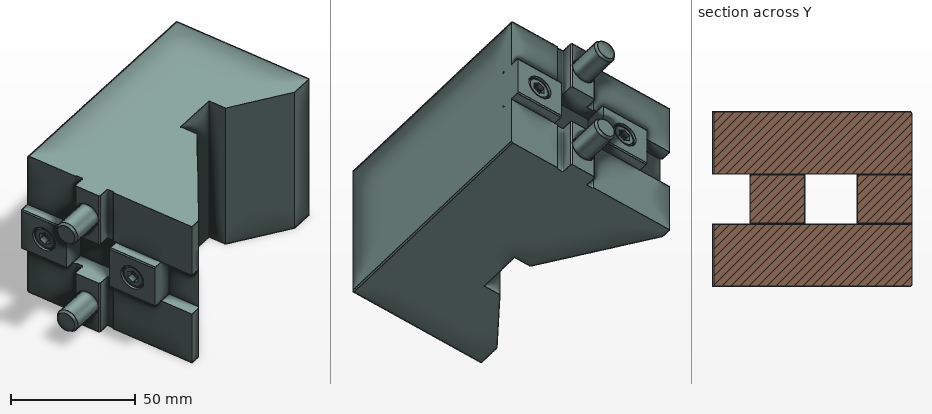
import cadquery as cq
import math

BODY_WIDTH = 80.0
BODY_DEPTH = 105.0
BODY_HEIGHT = 70.0
BACK_WIDTH = 65.0
FRONT_LIP_DEPTH = 4.6
BODY_CHAMFER = 0.6
HALF_HEIGHT = BODY_HEIGHT / 2

RELIEF_FRONT_Y = 50.0
RELIEF_HEIGHT = 20.0
RELIEF_FLOOR_X = 40.0
VEE_ROOT_X = 48.0
RELIEF_BACK_Y = RELIEF_FRONT_Y + RELIEF_HEIGHT
VEE_SLOPE = (RELIEF_FRONT_Y - FRONT_LIP_DEPTH) / (BODY_WIDTH - VEE_ROOT_X)
VEE_BACK_Y = RELIEF_BACK_Y + VEE_SLOPE * (BACK_WIDTH - VEE_ROOT_X)

AXIS_X = BACK_WIDTH / 2
TENON_WIDTH = 12.0
TENON_LENGTH = 5.0
TENON_CHAMFER = 0.5
GROOVE_OUTER_WIDTH = 18.1
GROOVE_DEPTH = 0.5
GROOVE_FILLET = 0.4

SLOT_WIDTH = 20.0
SLOT_DEPTH = 5.5
KEY_WIDTH = 22.0
KEY_LENGTH = 4.5
KEY_CHAMFER = 0.5
KEY_CENTERS_X = (KEY_WIDTH / 2, BACK_WIDTH - KEY_WIDTH / 2)

COUNTERBORE_DIAMETER = 11.0
COUNTERBORE_DEPTH = 1.2
SCREW_HEAD_DIAMETER = 10.0
SCREW_HEAD_RECESS = 0.5
SCREW_HEAD_CHAMFER = 0.5
HEX_ACROSS_FLATS = 5.0
HEX_DEPTH = 3.0
DRILL_DIAMETER = 6.0
DRILL_CONE_DEPTH = 1.5

PIN_DIAMETER = 10.0
PIN_LENGTH = 20.0
PIN_CHAMFER_RADIAL = 0.8
PIN_CHAMFER_AXIAL = 1.1
PIN_OFFSET_Z = 22.5
PIN_HOLE_DIAMETER = 11.0
PIN_HOLE_DEPTH = 1.2


def box_between(x_range, y_range, z_range):
    """Box spanning the given (low, high) ranges."""
    corner = (x_range[0], y_range[0], z_range[0])
    size = [high - low for low, high in (x_range, y_range, z_range)]
    return cq.Workplane("XY").box(*size, centered=False).translate(corner)


def rod(x, z, diameter, front_y, back_y):
    """Cylinder along Y between two Y positions."""
    plane = cq.Workplane("XZ", origin=(x, back_y, z))
    return plane.circle(diameter / 2).extrude(back_y - front_y)


def make_body():
    outline = [
        (0, 0),
        (BODY_WIDTH, 0),
        (BODY_WIDTH, FRONT_LIP_DEPTH),
        (VEE_ROOT_X, RELIEF_FRONT_Y),
        (RELIEF_FLOOR_X, RELIEF_FRONT_Y),
        (RELIEF_FLOOR_X, RELIEF_BACK_Y),
        (VEE_ROOT_X, RELIEF_BACK_Y),
        (BACK_WIDTH, VEE_BACK_Y),
        (BACK_WIDTH, BODY_DEPTH),
        (0, BODY_DEPTH),
    ]
    body = cq.Workplane("XY", origin=(0, 0, -HALF_HEIGHT)).polyline(outline).close().extrude(BODY_HEIGHT)
    left_edges = body.faces("<X").edges("not(<Y)")
    return left_edges.add(body.faces(">Y").edges()).chamfer(BODY_CHAMFER)


def add_tenon(body):
    height_range = (-HALF_HEIGHT, HALF_HEIGHT)
    groove_half = GROOVE_OUTER_WIDTH / 2
    tenon_half = TENON_WIDTH / 2
    tenon = box_between((AXIS_X - tenon_half, AXIS_X + tenon_half), (-TENON_LENGTH, 0), height_range)
    tenon = tenon.faces("<Y").edges("|Z").chamfer(TENON_CHAMFER)
    for inner, outer in ((-tenon_half, -groove_half), (tenon_half, groove_half)):
        x_range = (AXIS_X + min(inner, outer), AXIS_X + max(inner, outer))
        groove = box_between(x_range, (0, GROOVE_DEPTH), height_range)
        body = body.cut(groove.faces(">Y").edges("|Z").fillet(GROOVE_FILLET))
    return body.union(tenon)


def cut_slot(body):
    slot_half = SLOT_WIDTH / 2
    return body.cut(box_between((0, BODY_WIDTH), (-TENON_LENGTH, SLOT_DEPTH), (-slot_half, slot_half)))


def make_pin_cut(z):
    """Clearance recess in the tenon around a pin."""
    return rod(AXIS_X, z, PIN_HOLE_DIAMETER, -TENON_LENGTH, PIN_HOLE_DEPTH - TENON_LENGTH)


def make_pin(z):
    pin = rod(AXIS_X, z, PIN_DIAMETER, -PIN_LENGTH, 0)
    return pin.faces("<Y").chamfer(PIN_CHAMFER_AXIAL, PIN_CHAMFER_RADIAL)


def make_key(x):
    """Key block with a recessed hexagon socket screw."""
    key_half = KEY_WIDTH / 2
    slot_half = SLOT_WIDTH / 2
    key = box_between((x - key_half, x + key_half), (-KEY_LENGTH, SLOT_DEPTH), (-slot_half, slot_half))
    key = key.edges("|X").chamfer(KEY_CHAMFER)
    bore_floor_y = COUNTERBORE_DEPTH - KEY_LENGTH
    head_y = SCREW_HEAD_RECESS - KEY_LENGTH
    head = rod(x, 0, SCREW_HEAD_DIAMETER, head_y, bore_floor_y).faces("<Y").chamfer(SCREW_HEAD_CHAMFER)
    key = key.cut(rod(x, 0, COUNTERBORE_DIAMETER, -KEY_LENGTH, bore_floor_y)).union(head)
    return key.cut(make_socket(x, head_y))


def make_socket(x, head_y):
    """Hexagon socket with corners up and down, ending in a drill cone."""
    cone_base_y = head_y + HEX_DEPTH
    tip_y = cone_base_y + DRILL_CONE_DEPTH
    plane = cq.Workplane("XZ", origin=(x, tip_y, 0)).transformed(rotate=(0, 0, 90))
    corner_diameter = HEX_ACROSS_FLATS / math.cos(math.pi / 6)
    hexagon = plane.polygon(6, corner_diameter).extrude(tip_y - head_y)
    cone_base = cq.Vector(x, cone_base_y, 0)
    cone = cq.Solid.makeCone(DRILL_DIAMETER / 2, 0, DRILL_CONE_DEPTH, cone_base, cq.Vector(0, 1, 0))
    drill = rod(x, 0, DRILL_DIAMETER, head_y, cone_base_y).union(cq.Workplane(cone))
    return hexagon.intersect(drill)


result = cut_slot(add_tenon(make_body()))
for pin_z in (-PIN_OFFSET_Z, PIN_OFFSET_Z):
    result = result.cut(make_pin_cut(pin_z)).union(make_pin(pin_z))
for key_x in KEY_CENTERS_X:
    result = result.union(make_key(key_x))